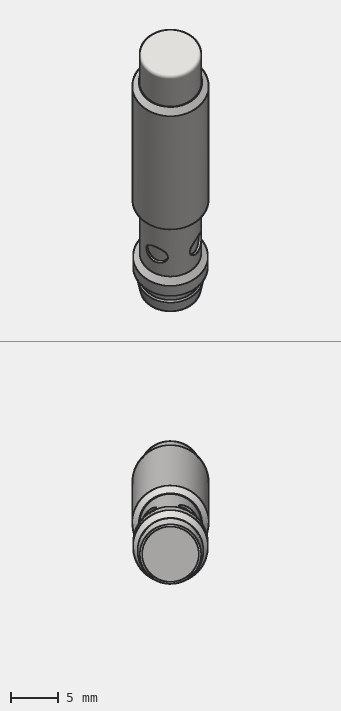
import cadquery as cq

total_length = 40.0
cap_length = 5.0
housing_length = total_length - cap_length

cap_radius = 3.25
cap_edge_fillet = 0.35

barrel_radius = 4.0
barrel_bottom = 14.3
barrel_chamfer = 0.7
neck_radius = 3.25
collar_radius = 3.9
collar_bottom = 2.9
collar_top = 6.0
collar_upper_taper = 0.7
collar_lower_taper = 0.65
lip_radius = 3.45
lip_end_radius = 3.2
lip_top = 2.0
lip_band_top = 1.8
lip_band_bottom = 1.55

core_radius = 2.95

window_radius = 1.3
window_height = 9.3
window_axes = ("XZ", "YZ")


def make_cap():
    """Round sensing cap resting on the upper end of the housing and core."""
    cap = cq.Workplane("XY").workplane(offset=housing_length).circle(cap_radius).extrude(cap_length)
    return cap.faces(">Z").edges().fillet(cap_edge_fillet)


def make_core():
    """Cylinder filling the bore from the connector end up to the cap."""
    return cq.Workplane("XY").circle(core_radius).extrude(housing_length)


def turned_housing():
    """Turned tube: half section in the XZ plane revolved about Z."""
    return (
        cq.Workplane("XZ")
        .moveTo(core_radius, 0)
        .lineTo(lip_end_radius, 0)
        .lineTo(lip_radius, lip_band_bottom)
        .lineTo(lip_radius, lip_band_top)
        .lineTo(neck_radius, lip_top)
        .lineTo(neck_radius, collar_bottom)
        .lineTo(collar_radius, collar_bottom + collar_lower_taper)
        .lineTo(collar_radius, collar_top - collar_upper_taper)
        .lineTo(neck_radius, collar_top)
        .lineTo(neck_radius, barrel_bottom)
        .lineTo(barrel_radius - barrel_chamfer, barrel_bottom)
        .lineTo(barrel_radius, barrel_bottom + barrel_chamfer)
        .lineTo(barrel_radius, housing_length - barrel_chamfer)
        .lineTo(barrel_radius - barrel_chamfer, housing_length)
        .lineTo(core_radius, housing_length)
        .close()
        .revolve(360, (0, 0, 0), (0, 1, 0))
    )


def make_housing():
    """Turned tube with two crossing drillings that give four windows."""
    housing = turned_housing()
    for plane in window_axes:
        drill = (
            cq.Workplane(plane)
            .center(0, window_height)
            .circle(window_radius)
            .extrude(barrel_radius, both=True)
        )
        housing = housing.cut(drill)
    return housing


cap = make_cap()
core = make_core()
housing = make_housing()

result = cq.Compound.makeCompound([housing.val(), core.val(), cap.val()])